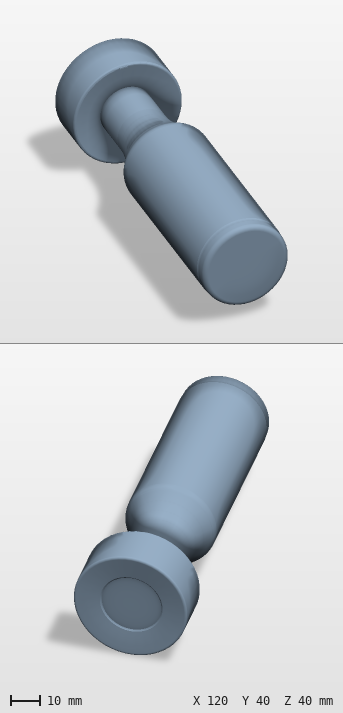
import cadquery as cq
import math

total_length = 120.0

head_radius = 20.0
head_length = 16.9
hub_end = 17.35
rim_round = 0.8
dish_angle = math.radians(10)

pocket_rim_radius = 11.05
pocket_floor_radius = 10.5
pocket_depth = 0.5

lug_inner_radius = 18.9
lug_outer_radius = 19.4
lug_side_y = -0.2
lug_width = 2.9
lug_embed_depth = 1.0
lug_end = 17.15

neck_radius = 9.5
flare_start = 30.2
flare_arc_radius = 34.0
shoulder_arc_radius = 5.0
grip_radius = 16.0
end_step_start = 114.65
end_step_length = 1.1
end_radius = 15.75
end_fillet = 1.75


def revolve_about_x(outline, degrees=360):
    """Close an outline of (X, radius) points and turn it about the X axis."""
    return outline.close().revolve(degrees, (0, 0, 0), (1, 0, 0))


def make_lug():
    """Block swept around the X axis from just beside the top of the head."""
    lug_root = head_length - lug_embed_depth
    mid_radius = (lug_inner_radius + lug_outer_radius) / 2
    start_angle = math.degrees(math.asin(-lug_side_y / mid_radius))
    sweep_angle = math.degrees(lug_width / mid_radius)
    block = revolve_about_x(
        cq.Workplane("XZ")
        .moveTo(lug_root, lug_inner_radius)
        .lineTo(lug_end, lug_inner_radius)
        .lineTo(lug_end, lug_outer_radius)
        .lineTo(lug_root, lug_outer_radius),
        sweep_angle,
    )
    return block.rotate((0, 0, 0), (1, 0, 0), start_angle)


def make_head():
    """Dished disc with its pocket, hub and lug."""
    rim_center_radius = head_radius - rim_round
    rim_circle_radius = rim_center_radius - rim_round * math.sin(dish_angle)
    rim_circle_depth = rim_round * (1 - math.cos(dish_angle))

    def dish_depth(radius):
        return rim_circle_depth + (rim_circle_radius - radius) * math.tan(dish_angle)

    floor_x = dish_depth(pocket_rim_radius) + pocket_depth
    disc = revolve_about_x(
        cq.Workplane("XY")
        .moveTo(floor_x, 0)
        .lineTo(floor_x, pocket_floor_radius)
        .lineTo(dish_depth(pocket_rim_radius), pocket_rim_radius)
        .lineTo(rim_circle_depth, rim_circle_radius)
        .threePointArc((0, rim_center_radius), (rim_round, head_radius))
        .lineTo(head_length - rim_round, head_radius)
        .threePointArc(
            (head_length, rim_center_radius),
            (head_length - rim_circle_depth, rim_circle_radius),
        )
        .lineTo(head_length - dish_depth(neck_radius), neck_radius)
        .lineTo(hub_end, neck_radius)
        .lineTo(hub_end, 0)
    )
    return disc.union(make_lug())


def make_handle():
    """Neck, hollow flare, cylindrical grip and slightly reduced rounded end."""
    flare_center_radius = neck_radius + flare_arc_radius
    shoulder_center_radius = grip_radius - shoulder_arc_radius
    flare_angle = math.acos(
        (flare_center_radius - shoulder_center_radius) / (flare_arc_radius + shoulder_arc_radius)
    )
    grip_start = flare_start + (flare_arc_radius + shoulder_arc_radius) * math.sin(flare_angle)

    def flare_point(angle):
        x = flare_start + flare_arc_radius * math.sin(angle)
        return x, flare_center_radius - flare_arc_radius * math.cos(angle)

    def shoulder_point(angle):
        x = grip_start - shoulder_arc_radius * math.sin(angle)
        return x, shoulder_center_radius + shoulder_arc_radius * math.cos(angle)

    step_drop = grip_radius - end_radius
    step_arc_radius = (end_step_length**2 + step_drop**2) / (2 * step_drop)
    end_step_end = end_step_start + end_step_length
    end_round_start = total_length - end_fillet
    end_round_inset = end_fillet * (1 - math.sqrt(0.5))
    return revolve_about_x(
        cq.Workplane("XY")
        .moveTo(hub_end, 0)
        .lineTo(hub_end, neck_radius)
        .lineTo(flare_start, neck_radius)
        .threePointArc(flare_point(flare_angle / 2), flare_point(flare_angle))
        .threePointArc(shoulder_point(flare_angle / 2), (grip_start, grip_radius))
        .lineTo(end_step_start, grip_radius)
        .radiusArc((end_step_end, end_radius), -step_arc_radius)
        .lineTo(end_round_start, end_radius)
        .threePointArc(
            (total_length - end_round_inset, end_radius - end_round_inset),
            (total_length, end_radius - end_fillet),
        )
        .lineTo(total_length, 0)
    )


head = make_head()
handle = make_handle()
result = cq.Compound.makeCompound([head.val(), handle.val()])